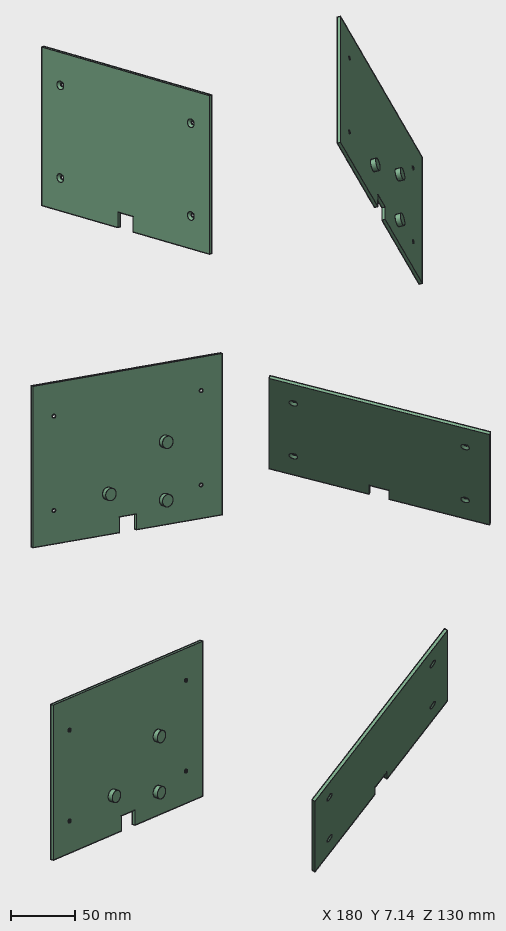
import cadquery as cq

PLATE_WIDTH = 180.0
PLATE_HEIGHT = 130.0
PLATE_THICKNESS = 2.84
TOTAL_DEPTH = 7.14

NOTCH_WIDTH = 16.1
NOTCH_CENTRE_X = -0.2
NOTCH_HEIGHT = 12.7

SCREW_SPACING_X = 140.0
SCREW_SPACING_Z = 76.0
SCREW_DIAMETER = 3.0
COUNTERSINK_DIAMETER = 7.0
COUNTERSINK_ANGLE = 90.0

BOSS_DIAMETER = 10.0
BOSS_HEIGHT = TOTAL_DEPTH - PLATE_THICKNESS
BOSS_LEFT_X = -35.05
BOSS_RIGHT_X = 19.05
BOSS_CENTRES = [
    (BOSS_LEFT_X, 2.4),
    (BOSS_RIGHT_X, -31.6),
    (BOSS_LEFT_X, -44.6),
]


def make_plate():
    """Flat rectangular plate centred on X and Z."""
    return cq.Workplane("XY").box(
        PLATE_WIDTH, PLATE_THICKNESS, PLATE_HEIGHT, centered=(True, False, True)
    )


def cut_notch(body):
    """Open the rectangular notch in the bottom edge, through the plate."""
    notch = (
        cq.Workplane("XY")
        .box(NOTCH_WIDTH, PLATE_THICKNESS, NOTCH_HEIGHT, centered=(True, False, False))
        .translate((NOTCH_CENTRE_X, 0, -PLATE_HEIGHT / 2))
    )
    return body.cut(notch)


def cut_screw_holes(body):
    """Drill the four countersunk holes from the front face."""
    return (
        body.faces("<Y")
        .workplane(origin=(0, 0, 0))
        .rarray(SCREW_SPACING_X, SCREW_SPACING_Z, 2, 2)
        .cskHole(SCREW_DIAMETER, COUNTERSINK_DIAMETER, COUNTERSINK_ANGLE)
    )


def add_bosses(body):
    """Raise the standoffs from the back face toward +Y."""
    bosses = (
        cq.Workplane("XZ", origin=(0, PLATE_THICKNESS, 0))
        .pushPoints(BOSS_CENTRES)
        .circle(BOSS_DIAMETER / 2)
        .extrude(-BOSS_HEIGHT)
    )
    return body.union(bosses)


result = add_bosses(cut_screw_holes(cut_notch(make_plate())))